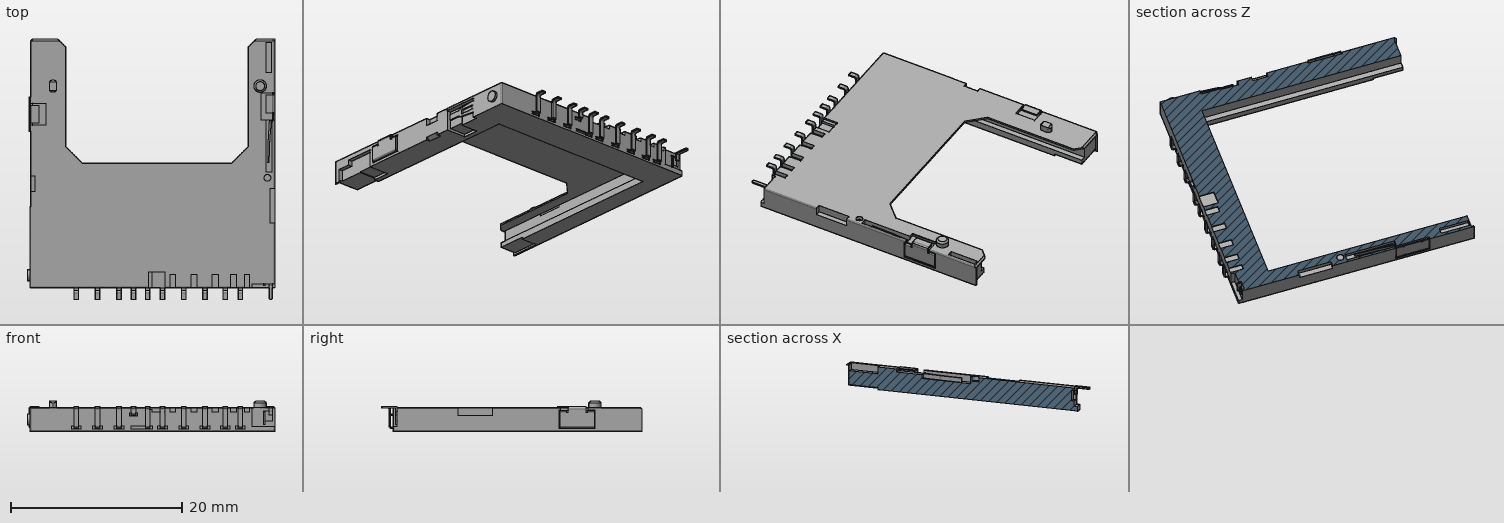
import cadquery as cq
width = 28.6
depth = 29.03
deck_top = 2.8
wall = 0.2
ceiling = deck_top - wall
solder_top = 2.92
post_top = 3.55
beyond = 1.52

mouth_left = 4.2
mouth_right = 25.48
mouth_front = 14.53
mouth_corner = 1.95
arm_tip_corner = 0.95

rail_depth = 0.73
groove_depth = 1.37
rail_top = 0.85
front_block_depth = 4.25
rail_back = 28.75
tip_relief_y = 25.1
tip_relief_z = 0.25
tip_floor_z = 0.33

corner_radius = 0.12
bend_radius = 0.105
back_corner_bevel = 0.2
back_bevel_y = 0.25
back_bevel_z = 0.15
wall_step_y = 9.5
wall_step = 0.1

side_recess = 0.6
side_notch_z = 1.85
left_notch_y = (11.25, 13.07)
right_notch_y = (7.55, 11.58)
foot_bevel_z = 0.4
tip_window_y = (22.83, 26.57, 28.2)
tip_window_low_z = 1.58
tip_window_high_z = 2.22
tongue_window_y = (4.92, 9.5)
tongue_window_z = 2.45
raised_floor_y = 7.42
raised_floor_z = 0.33
shallow_recess = 0.5

tongue_thickness = 0.18
tongue_center_z = 1.4
tongue_root_half = 0.73
tongue_neck_half = 0.52
tongue_tip_half = 0.33
tongue_neck_y = 7.27
tongue_tip_y = 8.97
tongue_slit_y = (5.1, 6.93)
tongue_slit_height = 0.52

dimple_y = 1.45
dimple_z = 1.4
dimple_diameter = 1.3
dimple_height = 0.27

round_post_x = 26.87
post_y = 23.53
round_post_diameter = 1.45
oblong_post_x = 2.7
oblong_post_width = 0.85
oblong_post_length = 1.4
oblong_post_radius = 0.35
post_chamfer = 0.2

front_slot = (27.57, 28.27, 13.5, 19.55)
back_slot = (27.57, 28.2, 25.1, 28.6)
slot_depth = 0.82

link_height = 0.52
link_outline = [(27.95, 19.45), (28.18, 19.45), (28.0, 17.33), (27.9, 14.6), (27.75, 14.6), (27.82, 17.33)]

peg_hole_x = 27.72
peg_hole_y = 12.83
peg_hole_diameter = 0.8
peg_hole_depth = 0.5

notch_floor = 2.28
notch_back = 1.58
notches = [(16.32, 17.02), (18.82, 19.52), (21.28, 22.0), (23.45, 24.1), (25.05, 25.63)]
wide_notch = (13.83, 15.78)
wide_notch_back = 1.82
wide_notch_step_x = 14.23
wide_notch_step_floor = ceiling

contact_x = [5.4, 7.9, 10.4, 13.75, 15.47, 17.97, 20.43, 22.8, 24.55]
contact_width = 0.55
contact_gauge = 0.18
contact_reach = 1.37
contact_leg_y = -0.5
contact_inner_bend = 0.12
contact_outer_bend = contact_inner_bend + contact_gauge
contact_base_z = 0.35
base_slot_width = 1.12
base_slot_height = 0.33
base_slot_drop = 0.05
short_contact_x = 12.1
short_contact_base_z = 1.85
short_slot_width = 0.9
joined_slot_x = (11.83, 14.25)

switch_left = 25.9
switch_floor = 0.6
switch_face_y = 0.45
switch_pocket_x = (27.27, 28.3)
switch_pocket_z = (1.22, 2.4)
switch_pocket_depth = 0.3
switch_leg_x = (27.9, 28.3)
switch_foot_chamfer = 0.12
switch_leg_bottom = 1.95
switch_blade_thickness = 0.15
switch_blade_z = (0.8, 2.28)
switch_blade_proud = 0.18

left_nail_proud = 0.1
right_nail_proud = 0.0
nail_plate_length = 4.0
nail_plate_z = (0.43, 2.4)
nail_tongue_length = 2.1
nail_flange_reach = 1.05
nail_gauge = 0.18
nail_edge_radius = 0.15
nail_bend_radius = 0.3
nail_gap = 0.1
nail_relief_width = 0.18
nail_relief_depth = 0.18
left_nail_y = 20.25
right_nail_y = 21.45
left_opening_y = (18.97, 21.52)
left_opening_reach = 1.9
right_opening_y = (19.55, 22.75)
right_opening_reach = 1.65
nail_pocket_floor = 2.43


def block(x_range, y_range, z_range):
    """Box between the given limits."""
    x0, x1 = x_range
    y0, y1 = y_range
    z0, z1 = z_range
    return cq.Workplane("XY").box(x1 - x0, y1 - y0, z1 - z0, centered=False).translate((x0, y0, z0))


def mirror_side(shape):
    """Carry a left-hand shape to the same place on the right-hand side."""
    return shape.mirror("YZ", (width / 2, 0, 0))


def mouth_cut():
    """Mouth between the arms, with bevelled inner corners and arm tips."""
    points = [
        (mouth_left - arm_tip_corner, depth),
        (mouth_left, depth - arm_tip_corner),
        (mouth_left, mouth_front + mouth_corner),
        (mouth_left + mouth_corner, mouth_front),
        (mouth_right - mouth_corner, mouth_front),
        (mouth_right, mouth_front + mouth_corner),
        (mouth_right, depth - arm_tip_corner),
        (mouth_right + arm_tip_corner, depth),
    ]
    return cq.Workplane("XY").polyline(points).close().extrude(deck_top)


def contact_slots():
    """Recesses in the front wall where the contacts come out."""
    y_range = (-beyond, wall)
    slots = []
    bases = [(x, contact_base_z, base_slot_width) for x in contact_x]
    bases.append((short_contact_x, short_contact_base_z, short_slot_width))
    for x, base_z, slot_width in bases:
        z0 = base_z - base_slot_drop
        x_range = (x - slot_width / 2, x + slot_width / 2)
        slots.append(block(x_range, y_range, (z0, z0 + base_slot_height)))
    z0 = contact_base_z - base_slot_drop
    slots.append(block(joined_slot_x, y_range, (z0, z0 + base_slot_height)))
    return slots


def edge_cuts():
    """Notches, slots and holes cut down from the top or in from the edges."""
    above = deck_top + beyond
    cuts = []
    for x_range in notches:
        cuts.append(block(x_range, (-beyond, notch_back), (notch_floor, above)))
    wide_x0, wide_x1 = wide_notch
    wide_y = (-beyond, wide_notch_back)
    cuts.append(block((wide_notch_step_x, wide_x1), wide_y, (notch_floor, above)))
    cuts.append(block((wide_x0, wide_notch_step_x), wide_y, (wide_notch_step_floor, above)))
    cuts.append(block((-beyond, side_recess), left_notch_y, (side_notch_z, above)))
    notch_y0, notch_y1 = left_notch_y
    foot_bevel = cq.Workplane("XZ").polyline([(0, 0), (0, foot_bevel_z), (side_recess, 0)]).close()
    cuts.append(foot_bevel.extrude(notch_y0 - notch_y1).translate((0, notch_y0, 0)))
    cuts.append(block((width - side_recess, width + beyond), right_notch_y, (side_notch_z, above)))
    cuts.append(block((switch_left, width + beyond), (-beyond, switch_face_y), (switch_floor, above)))
    for slot_x0, slot_x1, slot_y0, slot_y1 in (front_slot, back_slot):
        floor = deck_top - slot_depth
        cuts.append(block((slot_x0, slot_x1), (slot_y0, slot_y1), (floor, above)))
    peg_hole = cq.Workplane("XY").center(peg_hole_x, peg_hole_y).circle(peg_hole_diameter / 2)
    cuts.append(peg_hole.extrude(peg_hole_depth).translate((0, 0, deck_top - peg_hole_depth)))
    return cuts


def side_windows():
    """Recesses in the left wall, open at the bottom edge."""
    x_range = (-beyond, side_recess)
    tip_y0, tip_y1, tip_y2 = tip_window_y
    window_y0, window_y1 = tongue_window_y
    return [
        block(x_range, (tip_y0, tip_y1), (-beyond, tip_window_high_z)),
        block(x_range, (tip_y1, tip_y2), (-beyond, tip_window_low_z)),
        block((-beyond, shallow_recess), (window_y0, raised_floor_y), (-beyond, tongue_window_z)),
        block(x_range, (raised_floor_y, window_y1), (-beyond, tongue_window_z)),
    ]


def underside_reliefs():
    """Shallow steps in the underside of the arms and behind the left wall recesses."""
    inner_x = (wall + wall_step, mouth_left - groove_depth)
    _, window_y1 = tongue_window_y
    return [
        block((wall + wall_step, width - wall), (tip_relief_y, rail_back), (0, tip_relief_z)),
        block(inner_x, (tip_window_y[0], tip_relief_y), (0, tip_floor_z)),
        block(inner_x, (raised_floor_y, window_y1), (0, raised_floor_z)),
    ]


def card_channel():
    """Card groove and the open bay below it, running out of the back."""
    channel_y = (front_block_depth, depth)
    groove_x = (mouth_left - groove_depth, mouth_right + groove_depth)
    bay_x = (mouth_left - rail_depth, mouth_right + rail_depth)
    groove = block(groove_x, channel_y, (rail_top, ceiling))
    bay = block(bay_x, channel_y, (0, ceiling))
    rail_ends = block((wall + wall_step, width - wall), (rail_back, depth), (0, ceiling))
    return groove.union(bay).union(rail_ends)


def nail_openings(center_y, opening_y, opening_reach):
    """Window in the left wall for a nail at center_y, with the opening in the top."""
    plate_half = nail_plate_length / 2 + nail_gap
    z0, z1 = nail_plate_z
    window = block(
        (-beyond, wall + wall_step),
        (center_y - plate_half, center_y + plate_half),
        (z0 - nail_gap, z1 + nail_gap),
    )
    top = block((-beyond, opening_reach), opening_y, (nail_pocket_floor, deck_top + beyond))
    return window.union(top)


def oblong_block():
    """Square-cornered blank of the oblong post."""
    height = post_top - ceiling
    blank = cq.Workplane("XY").rect(oblong_post_width, oblong_post_length).extrude(height)
    return blank.translate((oblong_post_x, post_y, ceiling))


def oblong_post():
    """Oblong post with rounded corners and its two short ends bevelled at the top."""
    rounded = oblong_block().edges("|Z").fillet(oblong_post_radius)
    bevelled = oblong_block().faces(">Z").edges("|X").chamfer(post_chamfer)
    return bevelled.intersect(rounded)


def round_post():
    """Round post with a bevelled top."""
    post = cq.Workplane("XY").circle(round_post_diameter / 2).extrude(post_top - ceiling)
    return post.faces(">Z").edges().chamfer(post_chamfer).translate((round_post_x, post_y, ceiling))


def spring_tongue():
    """Tapered tongue with a slit, standing in the left wall window."""
    root_y, _ = tongue_window_y
    upper = [
        (root_y, tongue_root_half),
        (tongue_neck_y, tongue_neck_half),
        (tongue_neck_y + tongue_neck_half - tongue_tip_half, tongue_tip_half),
        (tongue_tip_y, tongue_tip_half),
    ]
    lower = [(y, -half) for y, half in reversed(upper)]
    points = [(y, tongue_center_z + offset) for y, offset in upper + lower]
    tongue = cq.Workplane("YZ").polyline(points).close().extrude(tongue_thickness)
    slit_half = tongue_slit_height / 2
    slit_z = (tongue_center_z - slit_half, tongue_center_z + slit_half)
    return tongue.cut(block((0, tongue_thickness), tongue_slit_y, slit_z))


def shell():
    """Outer block with rounded front corners and edges, a bevelled back and the card mouth."""
    outer = block((0, width), (0, depth), (0, deck_top))
    outer = outer.edges("|Z and <Y").fillet(corner_radius)
    outer = outer.faces(">Z").edges("not >Y").fillet(bend_radius)
    bevel = [(depth - back_bevel_y, deck_top), (depth, deck_top - back_bevel_z), (depth, deck_top)]
    outer = outer.cut(cq.Workplane("YZ").polyline(bevel).close().extrude(width))
    outer = outer.cut(block((0, wall_step), (wall_step_y, depth), (0, deck_top)))
    corner = [
        (wall_step, depth - back_corner_bevel),
        (wall_step + back_corner_bevel, depth),
        (wall_step, depth),
    ]
    outer = outer.cut(cq.Workplane("XY").polyline(corner).close().extrude(deck_top))
    return outer.cut(mouth_cut())


def contact(x, base_z):
    """Contact leaving the housing at base_z, rising in front of it and ending in a solder foot."""
    inner_y = contact_leg_y + contact_gauge
    foot_z = solder_top - contact_gauge
    bend_z = foot_z - contact_inner_bend
    profile = (
        cq.Workplane("YZ")
        .moveTo(wall, base_z)
        .lineTo(inner_y, base_z)
        .lineTo(contact_leg_y, base_z + contact_gauge)
        .lineTo(contact_leg_y, bend_z)
        .radiusArc((contact_leg_y - contact_inner_bend, foot_z), -contact_inner_bend)
        .lineTo(-contact_reach, foot_z)
        .lineTo(-contact_reach, solder_top)
        .lineTo(inner_y - contact_outer_bend, solder_top)
        .radiusArc((inner_y, bend_z), contact_outer_bend)
        .lineTo(inner_y, base_z + contact_gauge)
        .lineTo(wall, base_z + contact_gauge)
        .close()
        .extrude(contact_width)
    )
    return profile.translate((x - contact_width / 2, 0, 0))


def switch_leg():
    """Switch contact at the front right corner, ending in a level solder foot."""
    foot_z = solder_top - contact_gauge
    upright_y = (switch_face_y - contact_gauge, switch_face_y)
    upright = block(switch_leg_x, upright_y, (switch_leg_bottom, solder_top))
    foot = block(switch_leg_x, (-contact_reach, switch_face_y), (foot_z, solder_top))
    foot = foot.edges("|Z and <Y").chamfer(switch_foot_chamfer)
    return upright.union(foot)


def switch_blade():
    """Upright switch blade at the left edge of the switch pocket."""
    blade_x = switch_pocket_x[0]
    return block(
        (blade_x, blade_x + switch_blade_thickness),
        (switch_face_y - switch_blade_proud, switch_face_y + switch_pocket_depth),
        switch_blade_z,
    )


def make_housing():
    """Housing with its card channel, posts, dimple, spring tongue and contacts."""
    housing = shell().cut(card_channel())
    cuts = edge_cuts() + side_windows() + underside_reliefs() + contact_slots()
    cuts.append(nail_openings(left_nail_y, left_opening_y, left_opening_reach))
    cuts.append(mirror_side(nail_openings(right_nail_y, right_opening_y, right_opening_reach)))
    pocket_y = (0, switch_face_y + switch_pocket_depth)
    cuts.append(block(switch_pocket_x, pocket_y, switch_pocket_z))
    for cut in cuts:
        housing = housing.cut(cut)

    dimple = cq.Workplane("YZ").center(dimple_y, dimple_z).circle(dimple_diameter / 2).extrude(-dimple_height)
    additions = [dimple, spring_tongue(), oblong_post(), round_post(), switch_leg(), switch_blade()]
    for x in contact_x:
        additions.append(contact(x, contact_base_z))
    additions.append(contact(short_contact_x, short_contact_base_z))
    for addition in additions:
        housing = housing.union(addition)
    return housing


def make_link():
    """Tapered lock link resting on the floor of the front slot."""
    link = cq.Workplane("XY").polyline(link_outline).close().extrude(link_height)
    return link.translate((0, 0, deck_top - slot_depth))


def make_nail(center_y, proud):
    """Solder nail standing proud of the left wall: an upright plate with a tongue folded over the top."""
    z0, z1 = nail_plate_z
    plate_half = nail_plate_length / 2
    tongue_half = nail_tongue_length / 2
    outer = -proud
    plate = block((outer, outer + nail_gauge), (center_y - plate_half, center_y + plate_half), (z0, z1))
    plate = plate.edges("|Y and <X").fillet(nail_edge_radius)
    points = [
        (outer, z0 + nail_edge_radius),
        (outer, solder_top),
        (nail_flange_reach, solder_top),
        (nail_flange_reach, solder_top - nail_gauge),
        (outer + nail_gauge, solder_top - nail_gauge),
        (outer + nail_gauge, z0 + nail_edge_radius),
    ]
    tongue = cq.Workplane("XZ").polyline(points).close().extrude(-nail_tongue_length)
    tongue = tongue.translate((0, center_y - tongue_half, 0))
    tongue = tongue.edges("|Y and <X and >Z").fillet(nail_bend_radius)
    for side in (-1, 1):
        relief_y = center_y + side * (tongue_half + nail_relief_width / 2)
        relief_range = (relief_y - nail_relief_width / 2, relief_y + nail_relief_width / 2)
        plate = plate.cut(block((outer, outer + nail_gauge), relief_range, (z1 - nail_relief_depth, z1)))
    return plate.union(tongue)


housing = make_housing()
left_nail = make_nail(left_nail_y, left_nail_proud)
right_nail = mirror_side(make_nail(right_nail_y, right_nail_proud))
link = make_link()

result = cq.Compound.makeCompound([housing.val(), left_nail.val(), right_nail.val(), link.val()])